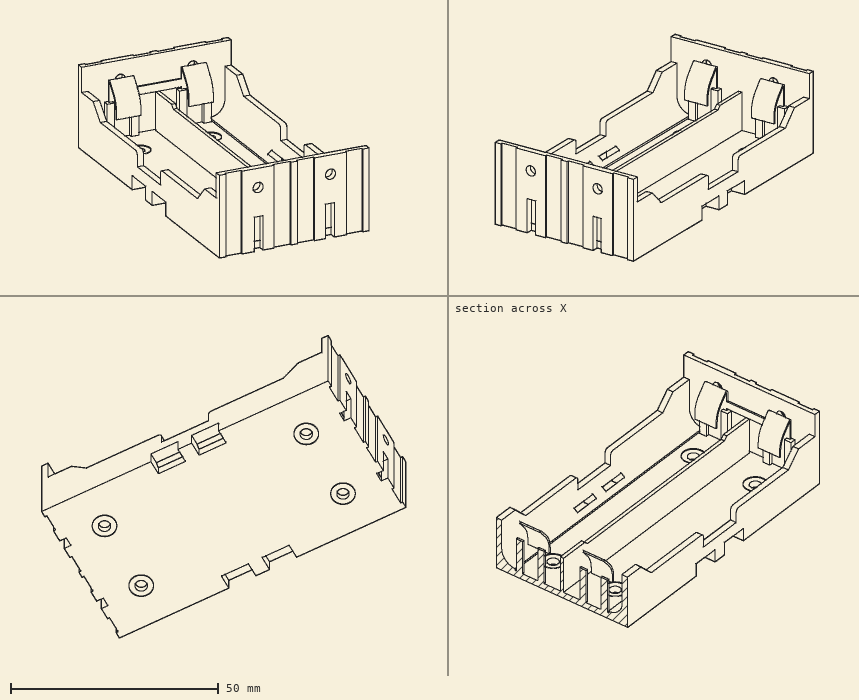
import cadquery as cq
import math

length = 78.0
width = 40.0
end_height = 21.5
floor_top = 1.9
end_wall = 1.8
side_wall = 1.7
half_length = length / 2
half_width = width / 2
inner_half_length = half_length - end_wall
inner_half_width = half_width - side_wall

low_height = 11.0
shoulder_height = 15.0
slope_foot = 12.2
finger_half_width = 6.4
finger_floor = 7.0
finger_round = 1.0

cradle_radius = 4.05
cradle_step = 0.5

divider_thickness = 1.0
divider_end_height = 11.9

pad_depth = 0.55
narrow_pad = 1.7
wide_pad = 8.5

window_start = 1.9
window_length = 7.3
window_depth = 3.8
window_height = 3.7
terminal_y = 9.5
terminal_width = 2.35
terminal_height = 9.0
peep_radius = 1.3
peep_height = 16.5

hole_inset = 11.55
hole_y = 9.4
hole_radius = 1.5
foot_radius = 3.0
foot_height = 0.2

contact_y = 9.7
contact_width = 6.5
strip = 0.5
contact_gap = 0.15
contact_top = 17.15
bend_radius = 0.55
leaf_angle = 50.0
leaf_slope_end = 4.8
leaf_reach = 6.55
leaf_bottom = 8.35

rib_width = 2.0
rib_depth = 1.55
rib_top = 11.4

bridge_top = 14.05


def block(x0, x1, y0, y1, z0, z1):
    """Box between two corner points."""
    return cq.Workplane("XY").box(x1 - x0, y1 - y0, z1 - z0, centered=False).translate((x0, y0, z0))


def with_mirror_image(body, plane):
    """The body together with its mirror image."""
    return body.union(body.mirror(plane))


def make_side_wall():
    """Wall on the -Y side, with end shoulders and a finger notch."""
    slope_foot_x = half_length - slope_foot
    slope_top_x = slope_foot_x + shoulder_height - low_height
    return (
        cq.Workplane("XZ", origin=(0, -inner_half_width, 0))
        .moveTo(-inner_half_length, 0)
        .lineTo(inner_half_length, 0)
        .lineTo(inner_half_length, shoulder_height)
        .lineTo(slope_top_x, shoulder_height)
        .lineTo(slope_foot_x, low_height)
        .lineTo(finger_half_width + finger_round, low_height)
        .radiusArc((finger_half_width, low_height - finger_round), -finger_round)
        .lineTo(finger_half_width, finger_floor)
        .lineTo(-finger_half_width, finger_floor)
        .lineTo(-finger_half_width, low_height - finger_round)
        .radiusArc((-finger_half_width - finger_round, low_height), -finger_round)
        .lineTo(-slope_foot_x, low_height)
        .lineTo(-slope_top_x, shoulder_height)
        .lineTo(-inner_half_length, shoulder_height)
        .close()
        .extrude(side_wall)
    )


def make_cradle():
    """Concave fillet along the foot of the -Y wall, level where it ends at the floor."""
    foot_y = -inner_half_width + cradle_radius
    foot_z = floor_top + cradle_step
    return (
        cq.Workplane("YZ", origin=(-inner_half_length, 0, 0))
        .moveTo(-inner_half_width, 0)
        .lineTo(foot_y, 0)
        .lineTo(foot_y, foot_z)
        .radiusArc((-inner_half_width, foot_z + cradle_radius), cradle_radius)
        .close()
        .extrude(2 * inner_half_length)
    )


def make_divider():
    """Thin wall between the cells, a little taller at both ends."""
    foot_x = half_length - slope_foot
    top_x = foot_x + divider_end_height - low_height
    bridge_face = -inner_half_length + contact_gap + strip
    return (
        cq.Workplane("XZ", origin=(0, divider_thickness / 2, 0))
        .moveTo(bridge_face, 0)
        .lineTo(inner_half_length, 0)
        .lineTo(inner_half_length, divider_end_height)
        .lineTo(top_x, divider_end_height)
        .lineTo(foot_x, low_height)
        .lineTo(-foot_x, low_height)
        .lineTo(-top_x, divider_end_height)
        .lineTo(bridge_face, divider_end_height)
        .close()
        .extrude(divider_thickness)
    )


def make_end_wall():
    """Wall at the -X end; raised pads stand on its outer face."""
    wall = block(-half_length + pad_depth, -inner_half_length, -half_width, half_width, 0, end_height)
    edge_pad_y = half_width - narrow_pad / 2
    pads = [
        (-edge_pad_y, narrow_pad),
        (-contact_y, wide_pad),
        (0, narrow_pad),
        (contact_y, wide_pad),
        (edge_pad_y, narrow_pad),
    ]
    for y, pad_width in pads:
        y0 = y - pad_width / 2
        pad = block(-half_length, -half_length + pad_depth, y0, y0 + pad_width, 0, end_height)
        wall = wall.union(pad)
    for side in (-1, 1):
        y0 = side * terminal_y - terminal_width / 2
        slot = block(-half_length, -inner_half_length, y0, y0 + terminal_width, 0, terminal_height)
        peep_hole = (
            cq.Workplane("YZ", origin=(-half_length, side * contact_y, peep_height))
            .circle(peep_radius)
            .extrude(end_wall)
        )
        wall = wall.cut(slot).cut(peep_hole)
    return wall


def make_contact(y):
    """Bent strip at the -X end: back plate, top bend, sloping leaf and curved front."""
    slope = math.radians(leaf_angle)
    normal = math.pi / 2 - slope
    back = end_wall + contact_gap
    bend_x = back + bend_radius
    bend_z = contact_top - bend_radius
    bend_inner = bend_radius - strip
    front_radius = (leaf_reach - leaf_slope_end) / (1 - math.sin(slope))
    front_x = leaf_reach - front_radius
    leaf_start_x = bend_x + bend_radius * math.sin(slope)
    leaf_start_z = bend_z + bend_radius * math.cos(slope)
    leaf_end_z = leaf_start_z - (leaf_slope_end - leaf_start_x) * math.tan(slope)
    front_z = leaf_end_z - front_radius * math.cos(slope)

    def on_bend(radius, angle):
        return (bend_x + radius * math.cos(angle), bend_z + radius * math.sin(angle))

    def on_front(radius, angle):
        return (front_x + radius * math.cos(angle), front_z + radius * math.sin(angle))

    bend_middle = (normal + math.pi) / 2
    front_inner = front_radius - strip
    return (
        cq.Workplane("XZ", origin=(-half_length, y + contact_width / 2, 0))
        .moveTo(back, floor_top)
        .lineTo(back, bend_z)
        .threePointArc(on_bend(bend_radius, bend_middle), on_bend(bend_radius, normal))
        .lineTo(*on_front(front_radius, normal))
        .threePointArc(on_front(front_radius, normal / 2), on_front(front_radius, 0))
        .lineTo(leaf_reach, leaf_bottom)
        .lineTo(leaf_reach - strip, leaf_bottom)
        .lineTo(*on_front(front_inner, 0))
        .threePointArc(on_front(front_inner, normal / 2), on_front(front_inner, normal))
        .lineTo(*on_bend(bend_inner, normal))
        .threePointArc(on_bend(bend_inner, bend_middle), on_bend(bend_inner, math.pi))
        .lineTo(back + strip, floor_top)
        .close()
        .extrude(contact_width)
    )


def make_contact_set():
    """Two contacts at the -X end with the ribs that hold them."""
    parts = cq.Workplane("XY")
    for side in (-1, 1):
        y = side * contact_y
        parts = parts.add(make_contact(y))
        for edge in (-1, 1):
            y0 = y + edge * (wide_pad - rib_width) / 2 - rib_width / 2
            rib_face = -inner_half_length + rib_depth
            rib = block(-inner_half_length, rib_face, y0, y0 + rib_width, floor_top, rib_top)
            parts = parts.add(rib)
    return parts.combine()


def make_bridge():
    """Strip over the end of the divider, joining the two contacts at the -X end."""
    back = -inner_half_length + contact_gap
    return block(back, back + strip, -contact_y, contact_y, divider_end_height, bridge_top)


def cut_windows(tray):
    """Two low openings per side wall that break into the cradle."""
    for side_x in (-1, 1):
        for side_y in (-1, 1):
            window = cq.Workplane("XY").box(
                window_length, window_depth, window_height, centered=(True, True, False)
            )
            x = side_x * (window_start + window_length / 2)
            y = side_y * (half_width - window_depth / 2)
            tray = tray.cut(window.translate((x, y, 0)))
    return tray


def add_mounting_holes(tray):
    """Through holes, each with a foot below and a matching shallow recess above."""
    hole_x = half_length - hole_inset
    places = [(-hole_x, -hole_y), (-hole_x, hole_y), (hole_x, -hole_y), (hole_x, hole_y)]

    def discs(radius, bottom, height):
        return cq.Workplane("XY", origin=(0, 0, bottom)).pushPoints(places).circle(radius).extrude(height)

    tray = tray.union(discs(foot_radius, -foot_height, foot_height))
    tray = tray.cut(discs(foot_radius, floor_top - foot_height, foot_height))
    return tray.cut(discs(hole_radius, -foot_height, floor_top + foot_height))


floor = block(-inner_half_length, inner_half_length, -half_width, half_width, 0, floor_top)
tray = floor.union(with_mirror_image(make_side_wall(), "XZ"))
tray = tray.union(with_mirror_image(make_cradle(), "XZ"))
tray = tray.union(make_divider())
tray = tray.union(with_mirror_image(make_end_wall(), "YZ"))
tray = cut_windows(tray)
tray = add_mounting_holes(tray)
tray = tray.union(with_mirror_image(make_contact_set(), "YZ"))
result = tray.union(make_bridge())